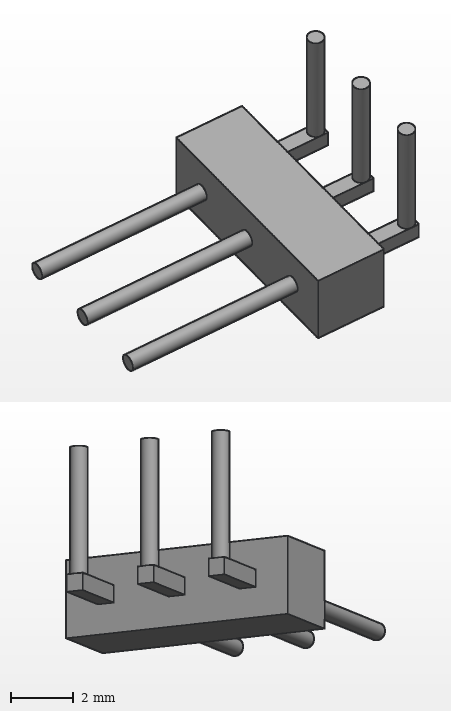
import cadquery as cq


pin_count = 3
pitch = 2.54
pin_diameter = 0.57
body_length = 7.94
body_depth = pitch
body_height = pitch
front_pin_length = 6.35
rear_bar_length = 2.14
post_rise = 3.16

front_face_y = -body_depth / 2
rear_face_y = body_depth / 2
bar_end_y = rear_face_y + rear_bar_length
post_center_y = bar_end_y - pin_diameter / 2
post_top_z = body_height / 2 + post_rise


def make_body():
    return cq.Workplane("XY").box(body_length, body_depth, body_height)


def make_front_pin(x):
    """Round pin running from the body centre out through the front face."""
    length = front_pin_length - front_face_y
    return (
        cq.Workplane("XZ")
        .center(x, 0)
        .circle(pin_diameter / 2)
        .extrude(length)
    )


def make_rear_bar(x):
    """Square bar running from the body centre out through the rear face."""
    return (
        cq.Workplane("XY")
        .box(pin_diameter, bar_end_y, pin_diameter, centered=(True, False, True))
        .translate((x, 0, 0))
    )


def make_post(x):
    """Round upright post standing on the end of the rear bar."""
    return (
        cq.Workplane("XY")
        .center(x, post_center_y)
        .circle(pin_diameter / 2)
        .extrude(post_top_z)
    )


result = make_body()
for index in range(pin_count):
    pin_x = (index - (pin_count - 1) / 2) * pitch
    result = result.union(make_front_pin(pin_x))
    result = result.union(make_rear_bar(pin_x))
    result = result.union(make_post(pin_x))